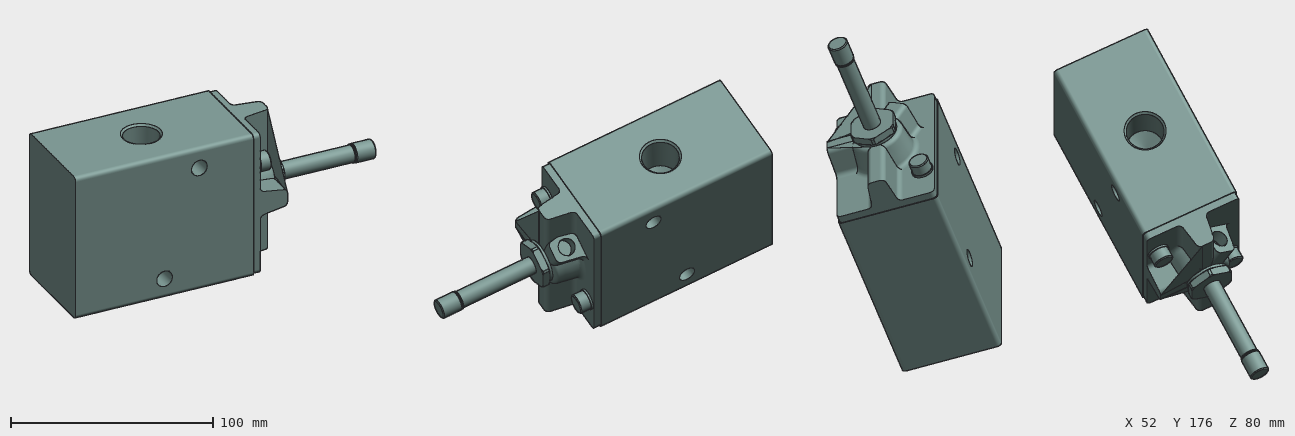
import cadquery as cq
import math


body_width = 52.0
body_length = 98.0
body_height = 80.0
corner_radius = 2.3

cover_step = 0.5
cover_width = body_width - 2 * cover_step
cover_height = body_height - 2 * cover_step
cover_thickness = 3.9
cover_face_y = body_length + cover_thickness

rib_height = 15.1
rib_foot_half_width = 6.9
port_arm_foot_half_width = 8.0
hub_foot_radius = 15.7
rib_draft = math.radians(9)
rib_fillet = 2.6
rib_top_y = cover_face_y + rib_height

port_arm_angle = 30
port_arm_length = 22.0
port_diameter = 8.6
port_depth = 7.5
port_y = 109.1

collar_diameter = 22.0
collar_length = 1.5
nut_width = 22.0
nut_corner_diameter = 24.6
nut_thickness = 4.0
nut_chamfer = 0.5
nut_start_y = rib_top_y + collar_length
tube_end_y = 176
tube_diameter = 9.0
tube_cap_diameter = 10.0
tube_cap_length = 11.0
tube_neck_diameter = 9.7
tube_neck_length = 0.7
tube_cap_chamfer = 0.5

screw_x = 19.4
screw_z = 20.2
screw_head_diameter = 10.0
screw_head_height = 6.9
screw_chamfer = 0.5
screw_flange_diameter = 11.0
screw_flange_height = 1.0

main_port_y = 49.0
main_port_diameter = 18.7
main_port_depth = 21.1
main_port_chamfer = 1.0
drill_point_angle = math.radians(118)

mounting_hole_diameter = 8.6
mounting_holes = [(68.1, 29.0), (49.0, -29.0)]


def rounded_block(width, height, start_y, length):
    """Block along Y with its long edges rounded."""
    return (
        cq.Workplane("XY")
        .box(width, length, height)
        .translate((0, start_y + length / 2, 0))
        .edges("|Y")
        .fillet(corner_radius)
    )


def rod(diameter, start_y, length):
    """Cylinder on the tube axis."""
    return cq.Workplane("XZ", origin=(0, start_y, 0)).circle(diameter / 2).extrude(-length)


def flank_points(foot_half_width):
    """Ends of the foot round, then of the top round, along a drafted flank."""
    tangent = rib_fillet * math.tan((math.pi / 2 - rib_draft) / 2)
    across = tangent * math.sin(rib_draft)
    along = tangent * math.cos(rib_draft)
    top_half_width = foot_half_width - rib_height * math.tan(rib_draft)
    return [
        (foot_half_width + tangent, cover_face_y),
        (foot_half_width - across, cover_face_y + along),
        (top_half_width + across, rib_top_y - along),
        (top_half_width - tangent, rib_top_y),
    ]


def rib(foot_half_width, length):
    """Rib from the tube axis toward +Z, with rounded top edges and feet."""
    foot, flank_low, flank_high, top = flank_points(foot_half_width)
    mirrored = [(-x, y) for x, y in (foot, flank_low, flank_high, top)]
    return (
        cq.Workplane("XY")
        .moveTo(foot[0], body_length)
        .lineTo(*foot)
        .radiusArc(flank_low, rib_fillet)
        .lineTo(*flank_high)
        .radiusArc(top, -rib_fillet)
        .lineTo(*mirrored[3])
        .radiusArc(mirrored[2], -rib_fillet)
        .lineTo(*mirrored[1])
        .radiusArc(mirrored[0], rib_fillet)
        .lineTo(mirrored[0][0], body_length)
        .close()
        .extrude(length)
    )


def turned_about_tube(shape, angle):
    """Turn from +Z toward -X for positive angles."""
    return shape.rotate((0, 0, 0), (0, 1, 0), -angle)


def hub():
    """Round boss under the nut, with the rib's flank turned about the tube axis."""
    foot, flank_low, flank_high, top = flank_points(hub_foot_radius)
    return (
        cq.Workplane("XY")
        .moveTo(0, body_length)
        .lineTo(foot[0], body_length)
        .lineTo(*foot)
        .radiusArc(flank_low, rib_fillet)
        .lineTo(*flank_high)
        .radiusArc(top, -rib_fillet)
        .lineTo(0, rib_top_y)
        .close()
        .revolve(360, (0, 0, 0), (0, 1, 0))
    )


def cover():
    plate = rounded_block(cover_width, cover_height, body_length, cover_thickness)
    upright = rib(rib_foot_half_width, cover_height).translate((0, 0, -cover_height / 2))
    side_arm = turned_about_tube(rib(rib_foot_half_width, cover_width / 2), -90)
    port_arm = rib(port_arm_foot_half_width, port_arm_length)
    port = (
        cq.Workplane("XY", origin=(0, port_y, port_arm_length))
        .circle(port_diameter / 2)
        .extrude(-port_depth)
    )
    raised = hub().union(upright).union(side_arm)
    raised = raised.union(turned_about_tube(port_arm, port_arm_angle))
    return plate.union(raised).cut(turned_about_tube(port, port_arm_angle))


def nut():
    corner_limit = rod(nut_corner_diameter, nut_start_y, nut_thickness).edges().chamfer(nut_chamfer)
    hexagon = (
        cq.Workplane("XZ", origin=(0, nut_start_y, 0))
        .transformed(rotate=(0, 0, 90))
        .polygon(6, nut_width / math.cos(math.pi / 6))
        .extrude(-nut_thickness)
    )
    return rod(collar_diameter, rib_top_y, collar_length).union(hexagon.intersect(corner_limit))


def armature_tube():
    cap_start_y = tube_end_y - tube_cap_length
    cap = rod(tube_cap_diameter, cap_start_y, tube_cap_length).edges().chamfer(tube_cap_chamfer)
    neck = rod(tube_neck_diameter, cap_start_y - tube_neck_length, tube_neck_length)
    tube = rod(tube_diameter, nut_start_y, cap_start_y - nut_start_y)
    return tube.union(neck).union(cap)


def screw():
    head = rod(screw_head_diameter, cover_face_y, screw_head_height)
    head = head.faces(">Y").chamfer(screw_chamfer)
    return head.union(rod(screw_flange_diameter, cover_face_y, screw_flange_height))


def main_port():
    """Chamfered blind hole with a drill-point bottom."""
    radius = main_port_diameter / 2
    point_depth = radius / math.tan(drill_point_angle / 2)
    top_z = body_height / 2
    return (
        cq.Workplane("XZ")
        .moveTo(0, top_z)
        .lineTo(radius + main_port_chamfer, top_z)
        .lineTo(radius, top_z - main_port_chamfer)
        .lineTo(radius, top_z - main_port_depth)
        .lineTo(0, top_z - main_port_depth - point_depth)
        .close()
        .revolve(360, (0, 0, 0), (0, 1, 0))
        .translate((0, main_port_y, 0))
    )


result = rounded_block(body_width, body_height, 0, body_length)
result = result.cut(main_port())
for hole_y, hole_z in mounting_holes:
    hole = (
        cq.Workplane("YZ", origin=(0, hole_y, hole_z))
        .circle(mounting_hole_diameter / 2)
        .extrude(body_width, both=True)
    )
    result = result.cut(hole)

result = result.union(cover()).union(nut()).union(armature_tube())
for side in (-1, 1):
    result = result.union(screw().translate((side * screw_x, 0, side * screw_z)))